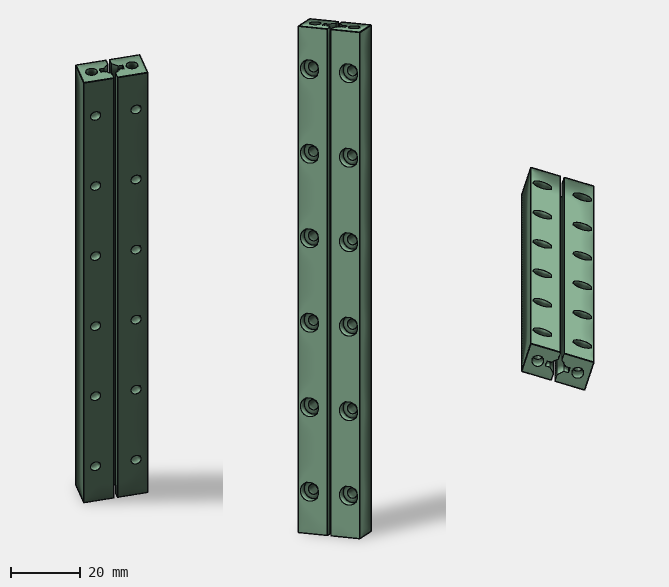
import cadquery as cq

LENGTH = 150.0
THICKNESS = 9.0
PAIR_WIDTH = 19.0
GAP = 1.0
HALF_GAP = GAP / 2
OUTER_Y = PAIR_WIDTH / 2

V_REACH = 2.8
SLOT_WIDTH = 1.5
SLOT_BOTTOM_Y = 3.5

HOLE_COUNT = 6
HOLE_PITCH = LENGTH / HOLE_COUNT
HOLE_Y = 6.0
HOLE_DIAMETER = 3.0
COUNTERBORE_DIAMETER = 5.5
COUNTERBORE_DEPTH = 3.0

END_HOLE_DIAMETER = 3.3
END_HOLE_DEPTH = 6.0
END_TIP_DEPTH = 1.8

EDGE_CHAMFER = 0.2


def rail_blank():
    """Rail on the +Y side, with the grooved face turned toward the centre of the pair."""
    half_slot = SLOT_WIDTH / 2
    half_mouth = V_REACH - HALF_GAP
    slot_mouth_y = V_REACH - half_slot
    outline = [
        (-THICKNESS / 2, OUTER_Y),
        (-THICKNESS / 2, HALF_GAP),
        (-half_mouth, HALF_GAP),
        (-half_slot, slot_mouth_y),
        (-half_slot, SLOT_BOTTOM_Y),
        (half_slot, SLOT_BOTTOM_Y),
        (half_slot, slot_mouth_y),
        (half_mouth, HALF_GAP),
        (THICKNESS / 2, HALF_GAP),
        (THICKNESS / 2, OUTER_Y),
    ]
    blank = cq.Workplane("XY").polyline(outline).close().extrude(LENGTH)
    return blank.faces("<X or >X or >Y").edges().chamfer(EDGE_CHAMFER)


def mounting_hole(z):
    """Through hole along X, counterbored on the -X face."""
    face = cq.Workplane("YZ", origin=(-THICKNESS / 2, HOLE_Y, z))
    through = face.circle(HOLE_DIAMETER / 2).extrude(THICKNESS)
    counterbore = face.circle(COUNTERBORE_DIAMETER / 2).extrude(COUNTERBORE_DEPTH)
    return through.union(counterbore)


def end_hole():
    """Blind hole entering the top end face, revolved about its own axis."""
    radius = END_HOLE_DIAMETER / 2
    profile = [
        (0, 0),
        (radius, 0),
        (radius, -END_HOLE_DEPTH),
        (0, -END_HOLE_DEPTH - END_TIP_DEPTH),
    ]
    return (
        cq.Workplane("XZ", origin=(0, HOLE_Y, LENGTH))
        .polyline(profile)
        .close()
        .revolve(360, (0, 0, 0), (0, 1, 0))
    )


def rail():
    """Complete +Y rail: evenly spaced mounting holes and a blind hole in each end."""
    body = rail_blank()
    for index in range(HOLE_COUNT):
        body = body.cut(mounting_hole((index + 0.5) * HOLE_PITCH))
    top_hole = end_hole()
    bottom_hole = top_hole.mirror("XY", (0, 0, LENGTH / 2))
    return body.cut(top_hole).cut(bottom_hole)


rear_rail = rail()
front_rail = rear_rail.mirror("XZ")

result = cq.Compound.makeCompound([rear_rail.val(), front_rail.val()])